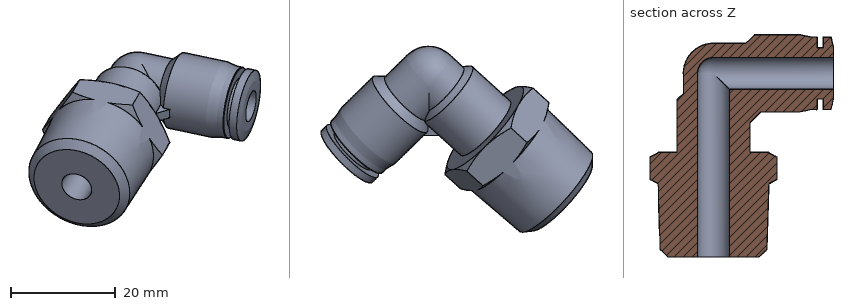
import cadquery as cq
import math


elbow_radius = 5.75
bore_radius = 3.0

stem_radius = 7.0
stem_shoulder_start = 3.8
stem_shoulder_end = 4.95

hex_across_flats = 21.0
hex_start = 15.0
hex_length = 6.05
hex_end = hex_start + hex_length
hex_inradius = hex_across_flats / 2
hex_circumradius = hex_inradius / math.cos(math.radians(30))
hex_chamfer_slope = math.tan(math.radians(30))

stem_end = 35.02
thread_tip_chamfer_length = 1.45
thread_tip_chamfer_depth = 1.55
thread_tip_start = stem_end - thread_tip_chamfer_length
radius_taper = 1 / 32
flat_runout_end = 24.25
thread_root_radius = hex_inradius + radius_taper * (flat_runout_end - hex_end)
thread_tip_radius = hex_inradius - radius_taper * (thread_tip_start - flat_runout_end)

socket_radius = 7.38
socket_cone_start = 6.15
socket_cone_end = 7.8
socket_taper_start = 16.5
socket_taper_end = 18.55
socket_rim_radius = 6.95
socket_end = 19.8
socket_rim_chamfer = 0.13

collar_neck_radius = 4.9
collar_radius = 6.9
collar_start = 20.9
collar_crown_start = 22.45
collar_face_radius = 4.9
arm_end = 22.9

rib_thickness = 2.0
rib_reach = 16.4


def revolve_about_y(profile):
    return profile.close().revolve(360, (0, 0, 0), (0, 1, 0))


def make_stem():
    profile = (
        cq.Workplane("XY")
        .lineTo(elbow_radius, 0)
        .lineTo(elbow_radius, -stem_shoulder_start)
        .lineTo(stem_radius, -stem_shoulder_end)
        .lineTo(stem_radius, -hex_end)
        .lineTo(0, -hex_end)
    )
    return revolve_about_y(profile)


def make_hex_and_thread():
    """Hexagon with conical end chamfers; its flats also trim the wide end of the thread."""
    start_drop = (hex_circumradius - hex_inradius) * hex_chamfer_slope
    end_drop = (hex_circumradius - thread_root_radius) * hex_chamfer_slope
    profile = (
        cq.Workplane("XY")
        .moveTo(0, -hex_start)
        .lineTo(hex_inradius, -hex_start)
        .lineTo(hex_circumradius, -hex_start - start_drop)
        .lineTo(hex_circumradius, -hex_end + end_drop)
        .lineTo(thread_root_radius, -hex_end)
        .lineTo(thread_tip_radius, -thread_tip_start)
        .lineTo(thread_tip_radius - thread_tip_chamfer_depth, -stem_end)
        .lineTo(0, -stem_end)
    )
    prism = (
        cq.Workplane("XZ", origin=(0, -hex_start, 0))
        .polygon(6, 2 * hex_circumradius)
        .extrude(stem_end - hex_start)
    )
    return revolve_about_y(profile).intersect(prism)


def make_arm():
    profile = (
        cq.Workplane("XY")
        .lineTo(0, elbow_radius)
        .lineTo(socket_cone_start, elbow_radius)
        .lineTo(socket_cone_end, socket_radius)
        .lineTo(socket_taper_start, socket_radius)
        .lineTo(socket_taper_end, socket_rim_radius)
        .lineTo(socket_end - socket_rim_chamfer, socket_rim_radius)
        .lineTo(socket_end, socket_rim_radius - socket_rim_chamfer)
        .lineTo(socket_end, collar_neck_radius)
        .lineTo(collar_start, collar_neck_radius)
        .lineTo(collar_start, collar_radius)
        .lineTo(collar_crown_start, collar_radius)
        .lineTo(arm_end, collar_face_radius)
        .lineTo(arm_end, 0)
        .close()
    )
    return profile.revolve(360, (0, 0, 0), (1, 0, 0))


def make_rib():
    """Triangular web whose free edge runs at 45 degrees from the stem to the socket."""
    return (
        cq.Workplane("XY")
        .polyline([(0, 0), (rib_reach, 0), (0, -rib_reach)])
        .close()
        .extrude(rib_thickness / 2, both=True)
    )


def make_passage():
    """Bore through the stem and the arm with a spherical bend."""
    stem_bore = cq.Workplane("XZ").circle(bore_radius).extrude(stem_end)
    arm_bore = cq.Workplane("YZ").circle(bore_radius).extrude(arm_end)
    return stem_bore.union(arm_bore).union(cq.Workplane("XY").sphere(bore_radius))


result = (
    make_stem()
    .union(make_arm())
    .union(cq.Workplane("XY").sphere(elbow_radius))
    .union(make_hex_and_thread())
    .union(make_rib())
    .cut(make_passage())
)